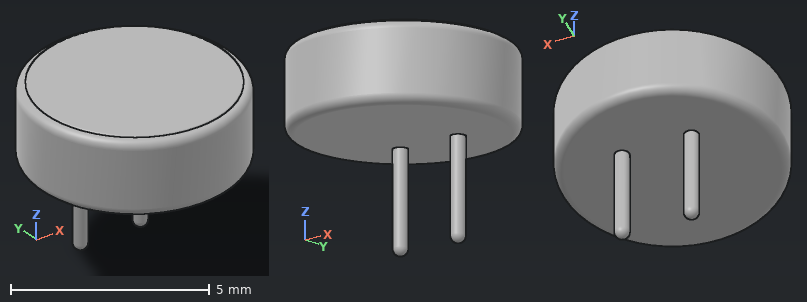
import cadquery as cq

housing_diameter = 6.0
housing_height = 2.2

cover_diameter = 5.5
cover_thickness = 0.05

rim_radius = (housing_diameter - cover_diameter) / 2

pin_diameter = 0.4
pin_length = 2.8
pin_spacing = 1.9
pin_row_y = 1.0


def make_housing():
    can = cq.Workplane("XY").circle(housing_diameter / 2).extrude(housing_height)
    return can.faces("<Z or >Z").edges().fillet(rim_radius)


def make_cover():
    """Disc whose edge is a quarter round over its whole thickness."""
    radius = cover_diameter / 2
    flat_radius = radius - cover_thickness
    top_z = housing_height + cover_thickness
    return (
        cq.Workplane("XZ")
        .moveTo(0, housing_height)
        .lineTo(radius, housing_height)
        .radiusArc((flat_radius, top_z), -cover_thickness)
        .lineTo(0, top_z)
        .close()
        .revolve(360, (0, 0, 0), (0, 1, 0))
    )


def make_pin(x):
    """Straight round pin with a hemispherical lower tip."""
    radius = pin_diameter / 2
    tip_start_z = radius - pin_length
    return (
        cq.Workplane("XZ")
        .lineTo(radius, 0)
        .lineTo(radius, tip_start_z)
        .radiusArc((0, -pin_length), radius)
        .close()
        .revolve(360, (0, 0, 0), (0, 1, 0))
        .translate((x, pin_row_y, 0))
    )


housing = make_housing()
cover = make_cover()
pins = [make_pin(side * pin_spacing / 2) for side in (-1, 1)]

result = cq.Compound.makeCompound([housing.val(), cover.val(), *(pin.val() for pin in pins)])